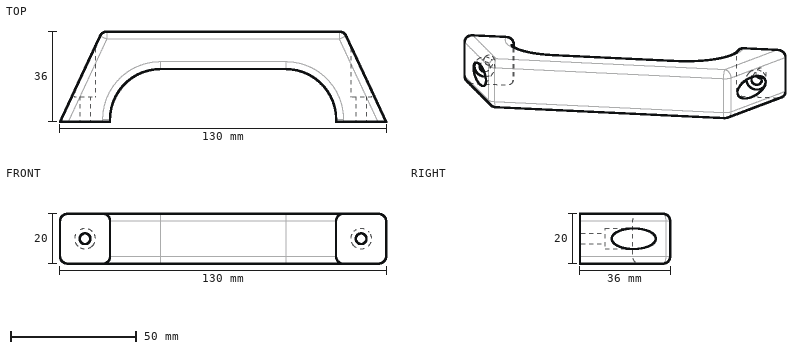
import cadquery as cq
import math

length = 130.0
depth = 36.0
height = 20.0

end_angle = 25.0
foot_width = 20.0
grip_thickness = 15.0
inner_radius = 20.0
edge_radius = 3.0

screw_diameter = 4.2
head_diameter = 8.2
head_seat = 10.0

half_length = length / 2
half_opening = half_length - foot_width
half_back = half_length - depth * math.tan(math.radians(end_angle))
opening_depth = depth - grip_thickness
round_start = opening_depth - inner_radius
half_straight = half_opening - inner_radius
screw_x = half_length - foot_width / 2
arc_offset = inner_radius * math.sin(math.radians(45))


def handle_body():
    """Arched handle with its feet on the plane Y = 0, centred on Z = 0."""
    arc_mid_x = half_straight + arc_offset
    arc_mid_y = round_start + arc_offset
    body = (
        cq.Workplane("XY")
        .moveTo(-half_length, 0)
        .lineTo(-half_back, depth)
        .lineTo(half_back, depth)
        .lineTo(half_length, 0)
        .lineTo(half_opening, 0)
        .lineTo(half_opening, round_start)
        .threePointArc((arc_mid_x, arc_mid_y), (half_straight, opening_depth))
        .lineTo(-half_straight, opening_depth)
        .threePointArc((-arc_mid_x, arc_mid_y), (-half_opening, round_start))
        .lineTo(-half_opening, 0)
        .close()
        .extrude(height / 2, both=True)
    )
    body = body.edges("|Z and >Y").fillet(edge_radius)
    return body.faces("<Z or >Z").edges("not(<Y)").fillet(edge_radius)


def y_cylinder(x, diameter, start, end):
    """Cylinder along Y at the given X, from Y = start to Y = end."""
    base = cq.Vector(x, start, 0)
    direction = cq.Vector(0, 1, 0)
    return cq.Workplane(cq.Solid.makeCylinder(diameter / 2, end - start, base, direction))


def screw_hole(x):
    """Through hole with a head recess entered from the sloping end."""
    shank = y_cylinder(x, screw_diameter, 0, depth)
    head_recess = y_cylinder(x, head_diameter, head_seat, depth)
    return shank.union(head_recess)


result = handle_body()
for side in (-1, 1):
    result = result.cut(screw_hole(side * screw_x))